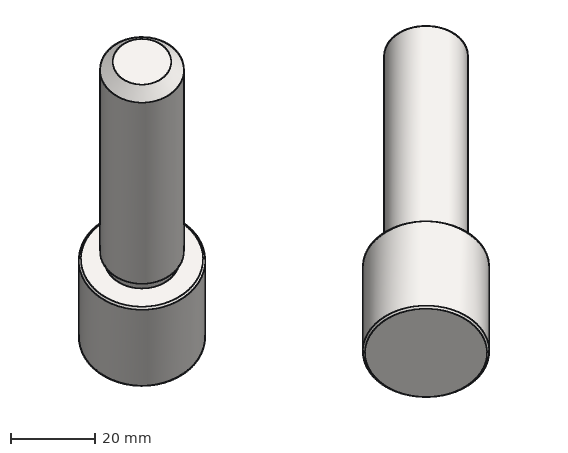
import cadquery as cq

total_length = 105.0
head_diameter = 30.0
head_height = 30.0
head_chamfer = 0.5

neck_diameter = 18.0
neck_length = 3.0

shank_diameter = 20.0
tip_chamfer = 3.0
shank_length = total_length - head_height - neck_length


def cylinder(diameter, length, base_z):
    """Upright cylinder on the Z axis, starting at base_z."""
    return cq.Workplane("XY").workplane(offset=base_z).circle(diameter / 2).extrude(length)


head = cylinder(head_diameter, head_height, 0).edges().chamfer(head_chamfer)

neck = cylinder(neck_diameter, neck_length, head_height)

shank = cylinder(shank_diameter, shank_length, head_height + neck_length)
shank = shank.faces(">Z").edges().chamfer(tip_chamfer)

result = head.union(neck).union(shank)